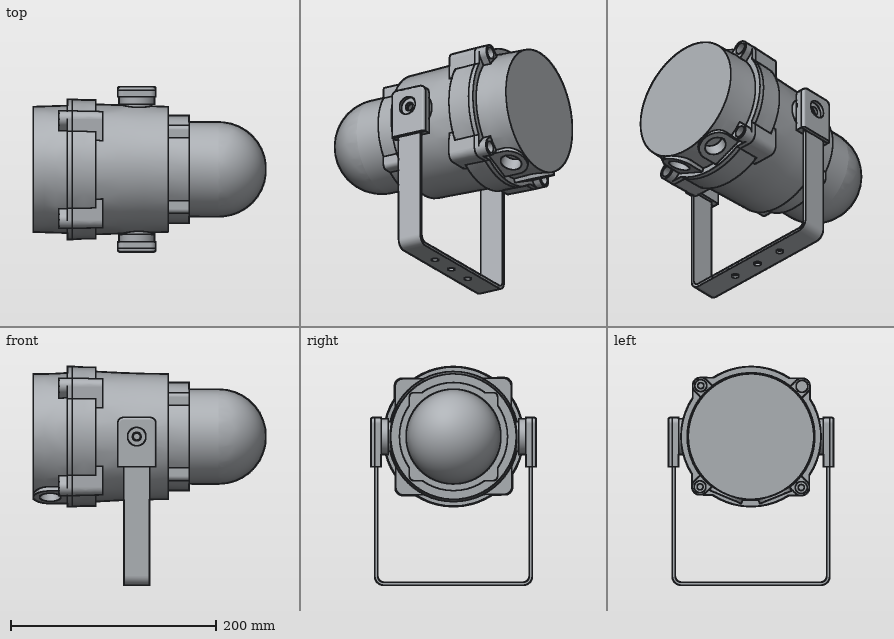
import cadquery as cq
import math


total_length = 227.2
lug_rear_x = 25.2
flange_rear_x = 33.5
joint_x = 38.5
flange_front_x = 61.3
lug_front_x = 68.1
shell_front_x = 132.0
collar_front_x = 152.2

shell_end_radius = 61.0
shell_draft = 1.9
flange_radius = 68.4
flange_draft = 1.5
collar_radius = 52.7
collar_lug_half = 43.0
collar_lug_round = 4.3
lens_radius = 92.5 / 2
dome_center_x = total_length - lens_radius

lug_half = 57.2
lug_round = 8.0
lug_center = lug_half - lug_round
lug_twist = 0.4
screw_clearance = 11.5
screw_pilot = 6.0
pilot_depth = 18.2

entry_angle = 22.5
entry_center_x = 16.8
entry_pad_radius = 16.5
entry_pad_height = 63.8
entry_pad_depth = 18.2
entry_hole = 21.0
entry_hole_depth = 13.6

clamp_x = 101.0
half_width_y = 161.0 / 2
clamp_half = 18.6
clamp_bottom_z = -29.5
clamp_corner = 5.7
clamp_thickness = 10.0
plate_thickness = 3.6
plate_edge_round = 2.3
plate_hole = 18.0
pivot_hole = 8.5
pivot_thread = 7.0
boss_diameter = 35.0
neck_diameter = 29.0
boss_inner_y = 63.4
neck_root_y = 45.5
clamp_inner_y = half_width_y - clamp_thickness
plate_inner_y = half_width_y - plate_thickness

strap_width = 25.0
strap_thickness = 3.2
strap_bend = 9.0
strap_bottom_z = -145.0
strap_top_z = strap_width / 2
mount_hole = 7.0
mount_pitch = 30.0


def axial_disc(radius, start_x, end_x, draft=0):
    """Disc on the lamp axis, narrowing toward +X by the draft angle."""
    return cq.Workplane("YZ", origin=(start_x, 0, 0)).circle(radius).extrude(end_x - start_x, taper=draft)


def rounded_square(half, corner, start_x, end_x, draft=0):
    """Square block across the lamp axis with round corners; its corners form the lugs."""
    outline = cq.Sketch().rect(2 * half, 2 * half).vertices().fillet(corner)
    block = cq.Workplane("YZ", origin=(start_x, 0, 0)).placeSketch(outline)
    return block.extrude(end_x - start_x, taper=draft)


def screw_holes(corners, diameter, start_x, end_x):
    """Cutters for the lug screws at the given (y, z) corners."""
    base = cq.Workplane("YZ", origin=(start_x, 0, 0)).pushPoints(corners)
    return base.circle(diameter / 2).extrude(end_x - start_x)


def twist(shape):
    """Turn the flange features slightly about the lamp axis."""
    return shape.rotate((0, 0, 0), (1, 0, 0), lug_twist)


def y_cylinder(diameter, start_y, end_y):
    """Cylinder on the clamp axis, from start_y to end_y on the -Y side."""
    origin = (clamp_x, -start_y, 0)
    return cq.Workplane("XZ", origin=origin).circle(diameter / 2).extrude(end_y - start_y)


def on_side(shape, side):
    """Keep a shape built on the -Y side, or mirror it to +Y."""
    return shape if side < 0 else shape.mirror("XZ")


lug_corners = [(y * lug_center, z * lug_center) for y in (-1, 1) for z in (-1, 1)]
plain_corner = (-lug_center, lug_center)
pilot_corners = [corner for corner in lug_corners if corner != plain_corner]


def cover_lug(y, z):
    """Screw boss behind the flange, running straight in toward the lamp axis."""
    length = math.hypot(y, z)
    boss = cq.Workplane("YZ", origin=(lug_rear_x, 0, 0)).center(length, 0).circle(lug_round)
    boss = boss.extrude(flange_rear_x - lug_rear_x)
    web_length = length - lug_center
    web = cq.Workplane("XY").box(
        flange_rear_x - lug_rear_x, web_length, 2 * lug_round, centered=(False, False, True)
    )
    web = web.translate((lug_rear_x, lug_center, 0))
    return boss.union(web).rotate((0, 0, 0), (1, 0, 0), math.degrees(math.atan2(z, y)))


def aim_entry(shape, side):
    """Swing an entry feature built straight below the axis to its own side."""
    return shape.rotate((0, 0, 0), (1, 0, 0), side * entry_angle)


def entry_pad(side):
    """Flat pad with a round rear end that runs forward into the flange."""
    base = cq.Workplane("XY", origin=(entry_center_x, 0, -entry_pad_height))
    pad = base.circle(entry_pad_radius).extrude(entry_pad_depth)
    run = flange_rear_x - entry_center_x
    pad = pad.union(base.center(run / 2, 0).rect(run, 2 * entry_pad_radius).extrude(entry_pad_depth))
    return aim_entry(pad, side)


def entry_bore(side):
    """Blind cable hole in the middle of an entry pad."""
    bore = cq.Workplane("XY", origin=(entry_center_x, 0, -entry_pad_height))
    return aim_entry(bore.circle(entry_hole / 2).extrude(entry_hole_depth), side)


def make_cover():
    """Rear cover: drafted drum, flange with four lugs and two cable entries."""
    cover = axial_disc(shell_end_radius, 0, flange_rear_x, -shell_draft)
    cover = cover.union(axial_disc(flange_radius, flange_rear_x, joint_x))
    cover = cover.union(rounded_square(lug_half, lug_round, flange_rear_x, joint_x))
    for y, z in lug_corners:
        cover = cover.union(cover_lug(y, z))
    for side in (-1, 1):
        cover = cover.union(entry_pad(side))
    for side in (-1, 1):
        cover = cover.cut(entry_bore(side))
    cover = cover.cut(screw_holes(lug_corners, screw_clearance, lug_rear_x, joint_x))
    return twist(cover)


def make_housing():
    """Lamp housing: drafted shell with flange lugs, clamp necks, collar and domed lens."""
    shell_rear_radius = shell_end_radius + (shell_front_x - joint_x) * math.tan(math.radians(shell_draft))
    flange = axial_disc(flange_radius, joint_x, flange_front_x, flange_draft)
    flange = flange.union(rounded_square(lug_half, lug_round, joint_x, lug_front_x, flange_draft))
    flange = flange.cut(screw_holes(pilot_corners, screw_pilot, joint_x, joint_x + pilot_depth))

    housing = axial_disc(shell_rear_radius, joint_x, shell_front_x, shell_draft).union(twist(flange))
    for side in (-1, 1):
        housing = housing.union(on_side(y_cylinder(neck_diameter, neck_root_y, boss_inner_y), side))
    housing = housing.union(axial_disc(collar_radius, shell_front_x, collar_front_x))
    housing = housing.union(
        rounded_square(collar_lug_half, collar_lug_round, shell_front_x, collar_front_x)
    )
    lens = axial_disc(lens_radius, collar_front_x, dome_center_x)
    dome = cq.Workplane("XY").sphere(lens_radius).translate((dome_center_x, 0, 0))
    return housing.union(lens).union(dome)


def make_bracket():
    """U-shaped strap with a pivot hole in each arm and three mounting holes in its base."""
    def channel(inset):
        half = plate_inner_y - inset
        bottom = strap_bottom_z + inset
        block = cq.Workplane("XY").box(
            strap_width, 2 * half, strap_top_z - bottom, centered=(True, True, False)
        )
        block = block.translate((clamp_x, 0, bottom))
        return block.edges("|X and <Z").fillet(strap_bend - inset)

    strap = channel(0).cut(channel(strap_thickness))
    for side in (-1, 1):
        strap = strap.cut(on_side(y_cylinder(pivot_hole, clamp_inner_y, half_width_y), side))
    holes = cq.Workplane("XY", origin=(clamp_x, 0, strap_bottom_z)).rarray(2.3, mount_pitch, 1, 3)
    return strap.cut(holes.circle(mount_hole / 2).extrude(strap_thickness))


def clamp_block(start_y, end_y):
    """Clamp outline on the -Y side: square bottom corners and round top corners."""
    block = cq.Workplane("XY").box(
        2 * clamp_half, end_y - start_y, clamp_half - clamp_bottom_z, centered=(True, False, False)
    )
    block = block.translate((clamp_x, -end_y, clamp_bottom_z))
    return block.edges("|Y and >Z").fillet(clamp_corner)


def make_clamp_base(side):
    """Inner half of a clamp: a round boss and a pocket for the strap end and a pivot screw hole."""
    base = clamp_block(clamp_inner_y, plate_inner_y)
    base = base.union(y_cylinder(boss_diameter, boss_inner_y, clamp_inner_y))
    pocket = cq.Workplane("XY").box(
        strap_width, strap_thickness, strap_top_z - clamp_bottom_z, centered=(True, False, False)
    )
    base = base.cut(pocket.translate((clamp_x, -plate_inner_y, clamp_bottom_z)))
    base = base.cut(y_cylinder(pivot_thread, boss_inner_y, plate_inner_y))
    return on_side(base, side)


def make_clamp_plate(side):
    """Outer half of a clamp: a plate with rounded outer edges and a screw head opening."""
    plate = clamp_block(plate_inner_y, half_width_y)
    plate = plate.faces("<Y").edges("not <Z").fillet(plate_edge_round)
    plate = plate.cut(y_cylinder(plate_hole, plate_inner_y, half_width_y))
    return on_side(plate, side)


cover = make_cover()
housing = make_housing()
bracket = make_bracket()
clamp_bases = [make_clamp_base(side) for side in (-1, 1)]
clamp_plates = [make_clamp_plate(side) for side in (-1, 1)]

result = cq.Compound.makeCompound([
    cover.val(),
    housing.val(),
    bracket.val(),
    *[base.val() for base in clamp_bases],
    *[plate.val() for plate in clamp_plates],
])